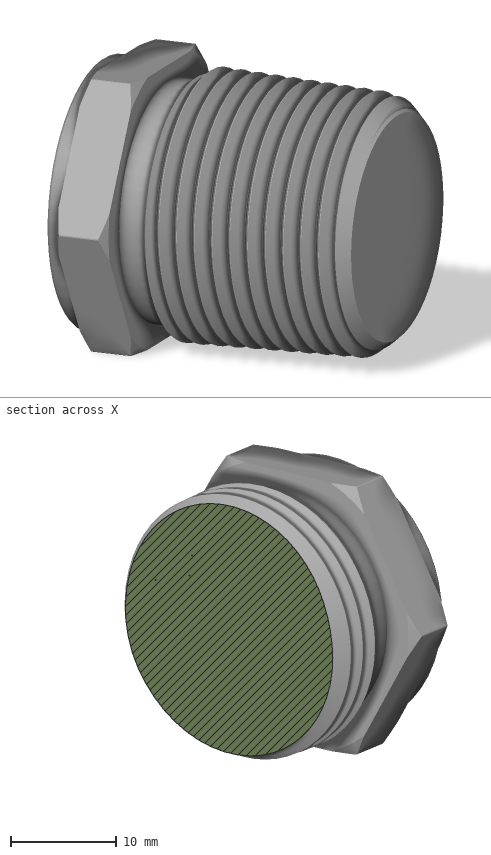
import cadquery as cq
import math

TOTAL_LENGTH = 30.5

DISC_LENGTH = 1.55
DISC_RADIUS = 13.35
DISC_CHAMFER_LENGTH = 0.22
DISC_CHAMFER_DEPTH = 0.12

HEX_SIDES = 6
HEX_END = 6.82
HEX_ACROSS_FLATS = 26.9
HEX_CORNER_RADIUS = 15.5
HEX_CHAMFER_LENGTH = 0.6
HEX_CHAMFER_DEPTH = 1.12

NECK_RADIUS = 11.85
NECK_END = 9.35
NECK_FILLET = 0.53

GAUGE_TURNS = 10
GAUGE_LENGTH = 18.17
PITCH = GAUGE_LENGTH / GAUGE_TURNS
CREST_RADIUS = 13.33
TAPER = 1 / 32
DEPTH_PER_PITCH = 0.8
TAPER_DEGREES = math.degrees(math.atan(TAPER))
FLANK_ANGLE = 30
FLANK_SLOPE = math.tan(math.radians(FLANK_ANGLE))
THREAD_DEPTH = DEPTH_PER_PITCH * PITCH
FLAT_WIDTH = (PITCH - 2 * THREAD_DEPTH * FLANK_SLOPE) / 2
LEAD_IN_LENGTH = 0.87
END_RADIUS = 11.05
END_CHAMFER_LENGTH = 2.05
CREST_X_AT_TOP = 11.1
BLANK_OVERRUN = 2.17
ENVELOPE_CLEARANCE = 0.12
GROOVE_OVERSHOOT = 0.045


def crest_radius(x):
    """Radius of the thread crests at a place along the axis."""
    return CREST_RADIUS - TAPER * (x - NECK_END)


def revolve_profile(points):
    """Turn a closed (x, y) outline around the X axis."""
    return cq.Workplane("XY").polyline(points).close().revolve(360, (0, 0, 0), (1, 0, 0))


def make_disc():
    """Head disc with a shallow chamfer around its outer face."""
    return revolve_profile([
        (0, 0),
        (0, DISC_RADIUS - DISC_CHAMFER_DEPTH),
        (DISC_CHAMFER_LENGTH, DISC_RADIUS),
        (DISC_LENGTH, DISC_RADIUS),
        (DISC_LENGTH, 0),
    ])


def make_hexagon():
    """Hexagon with flats at +Z and -Z, its corners turned round and chamfered at both ends."""
    corner_diameter = HEX_ACROSS_FLATS / math.cos(math.pi / HEX_SIDES)
    hex_length = HEX_END - DISC_LENGTH
    hex_plane = cq.Workplane("YZ", origin=(DISC_LENGTH, 0, 0))
    prism = hex_plane.polygon(HEX_SIDES, corner_diameter).extrude(hex_length)
    face_radius = HEX_CORNER_RADIUS - HEX_CHAMFER_DEPTH
    envelope = revolve_profile([
        (DISC_LENGTH, 0),
        (DISC_LENGTH, face_radius),
        (DISC_LENGTH + HEX_CHAMFER_LENGTH, HEX_CORNER_RADIUS),
        (HEX_END - HEX_CHAMFER_LENGTH, HEX_CORNER_RADIUS),
        (HEX_END, face_radius),
        (HEX_END, 0),
    ])
    return prism.intersect(envelope)


def make_thread_blank():
    """Plain cone of the crests, longer than the thread at both ends."""
    start = HEX_END - BLANK_OVERRUN
    end = TOTAL_LENGTH + BLANK_OVERRUN
    return revolve_profile([
        (start, 0),
        (start, -crest_radius(start)),
        (end, -crest_radius(end)),
        (end, 0),
    ])


def make_shank_envelope():
    """Neck and the outline of the thread, chamfered at both of its ends.

    A fillet joins the neck to the chamfer where the thread begins.
    """
    lead_in_end = NECK_END + LEAD_IN_LENGTH
    chamfer_start = TOTAL_LENGTH - END_CHAMFER_LENGTH
    envelope = revolve_profile([
        (HEX_END, 0),
        (HEX_END, -NECK_RADIUS),
        (NECK_END, -NECK_RADIUS),
        (lead_in_end, -crest_radius(lead_in_end) - ENVELOPE_CLEARANCE),
        (chamfer_start, -crest_radius(chamfer_start) - ENVELOPE_CLEARANCE),
        (TOTAL_LENGTH, -END_RADIUS),
        (TOTAL_LENGTH, 0),
    ])
    neck_corner = cq.selectors.NearestToPointSelector((NECK_END, 0, 0))
    return envelope.edges(neck_corner).fillet(NECK_FILLET)


def make_thread_groove():
    """Helical V-groove, closed by ruled faces between the four helices of its corners."""
    start = CREST_X_AT_TOP - 1.5 * PITCH
    turns = math.ceil((TOTAL_LENGTH + BLANK_OVERRUN - start) / PITCH) + 1
    root_radius = crest_radius(start) - THREAD_DEPTH
    outer_radius = crest_radius(start) + GROOVE_OVERSHOOT
    half_root = FLAT_WIDTH / 2
    half_outer = half_root + (THREAD_DEPTH + GROOVE_OVERSHOOT) * FLANK_SLOPE
    corners = [
        (-half_root, root_radius),
        (half_root, root_radius),
        (half_outer, outer_radius),
        (-half_outer, outer_radius),
    ]
    helices = [
        cq.Wire.makeHelix(PITCH, turns * PITCH, radius, angle=-TAPER_DEGREES)
        .translate(cq.Vector(0, 0, offset))
        for offset, radius in corners
    ]
    faces = [
        cq.Face.makeRuledSurface(helices[i], helices[(i + 1) % len(helices)])
        for i in range(len(helices))
    ]
    for end in (0, 1):
        ends = [helix.positionAt(end) for helix in helices]
        faces.append(cq.Face.makeFromWires(cq.Wire.makePolygon(ends, close=True)))
    groove = cq.Solid.makeSolid(cq.Shell.makeShell(faces))
    axis_along_x = cq.Plane(origin=(start, 0, 0), xDir=(0, 0, 1), normal=(1, 0, 0))
    return cq.Workplane(groove.moved(cq.Location(axis_along_x)))


threaded_cone = make_thread_blank().cut(make_thread_groove())
shank = threaded_cone.intersect(make_shank_envelope())
result = make_disc().union(make_hexagon()).union(shank)